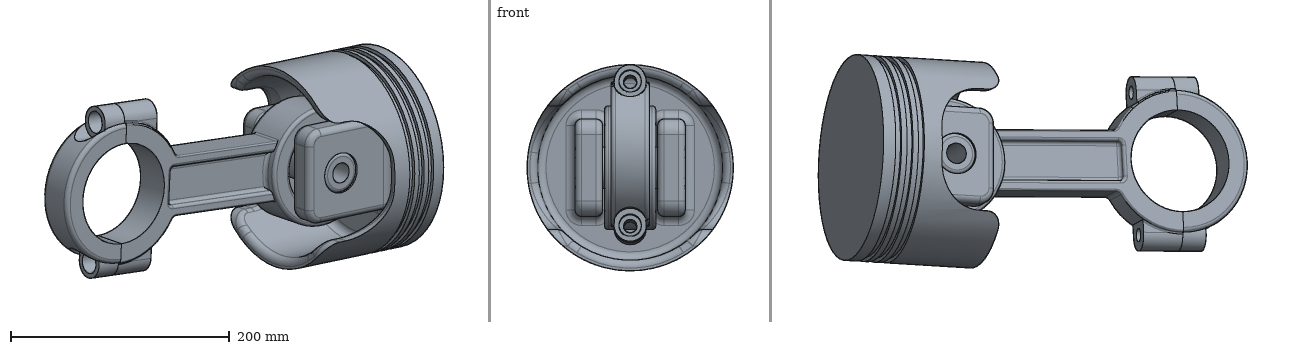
import cadquery as cq
import math


margin = 0.5

piston_radius = 94.3
crown_y = 85.0
skirt_end_y = -36.2
wall_thickness = 9.8
cavity_radius = piston_radius - wall_thickness
floor_y = 57.7
floor_fillet = 7.5
rim_fillet = 7.0

top_land = 11.7
groove_width = 5.5
groove_pitch = 11.0
groove_depth = 3.5
groove_count = 3

window_top_y = 28.3
window_half_height = 56.5
window_corner_radius = 42.2
skirt_corner_radius = 15.0

boss_center_x = 37.7
boss_width = 25.3
boss_half_height = 44.5
boss_end_y = -37.5
boss_corner_radius = 14.5
boss_edge_fillet = 6.0
boss_root_fillet = 8.3

pin_radius = 19.0
pin_bore_radius = 9.5
pin_end_fillet = 3.5
pin_half_length = boss_center_x + boss_width / 2

rod_length = 226.7
rod_swing_angle = 3.1
rod_half_width = 17.7
small_end_radius = 56.5
small_end_half_width = 23.5
small_end_fillet = 3.5
small_end_bore_radius = 37.7
beam_half_height = 28.3
beam_edge_fillet = 1.5
neck_fillet = 5.5
small_end_neck_fillet = 2.5

pocket_half_height = 18.0
pocket_end = 172.0
pocket_depth = 6.8
pocket_corner_radius = 3.8
pocket_floor_fillet = 3.5
pocket_mouth_fillet = 3.0

big_end_radius = 66.0
big_end_bore_radius = 47.0
cap_edge_fillet = 4.0

bolt_offset = big_end_radius
bolt_boss_radius = 14.7
rod_boss_length = 37.7
cap_boss_length = 22.5
rod_boss_start_y = rod_boss_length - rod_length
cap_boss_end_y = -rod_length - cap_boss_length
bolt_hole_radius = 6.0
counterbore_radius = 10.0
counterbore_depth = 15.0
spotface_radius = 15.5
bolt_boss_root_fillet = 1.5


def side_plane(half_width):
    """YZ workplane at X = -half_width, facing +X."""
    return cq.Workplane("YZ", origin=(-half_width, 0, 0))


def x_cylinder(center_y, radius, half_width):
    return side_plane(half_width).center(center_y, 0).circle(radius).extrude(2 * half_width)


def y_cylinder(radius, start_y, end_y, x=0, z=0):
    base = cq.Workplane("XZ", origin=(x, start_y, z)).circle(radius)
    return base.extrude(start_y - end_y)


def skirt_window():
    corner_start_y = window_top_y - window_corner_radius
    corner_z = window_half_height - window_corner_radius
    corner_bend_y = skirt_end_y + skirt_corner_radius
    mouth_z = window_half_height + skirt_corner_radius
    outline = (
        side_plane(piston_radius)
        .moveTo(skirt_end_y, -mouth_z)
        .radiusArc((corner_bend_y, -window_half_height), skirt_corner_radius)
        .lineTo(corner_start_y, -window_half_height)
        .radiusArc((window_top_y, -corner_z), -window_corner_radius)
        .lineTo(window_top_y, corner_z)
        .radiusArc((corner_start_y, window_half_height), -window_corner_radius)
        .lineTo(corner_bend_y, window_half_height)
        .radiusArc((skirt_end_y, mouth_z), skirt_corner_radius)
        .close()
    )
    return outline.extrude(2 * piston_radius)


def pin_boss(side):
    length = floor_y - boss_end_y
    boss = (
        cq.Workplane("XY")
        .box(boss_width, length, 2 * boss_half_height)
        .translate((side * boss_center_x, (floor_y + boss_end_y) / 2, 0))
    )
    boss = boss.faces("<Y").edges("|X").fillet(boss_corner_radius)
    return boss.faces("<X or >X").edges("not >Y").fillet(boss_edge_fillet)


def make_piston():
    body = y_cylinder(piston_radius, crown_y, skirt_end_y)
    cavity = y_cylinder(cavity_radius, floor_y, skirt_end_y)
    cavity = cavity.faces(">Y").edges().fillet(floor_fillet)
    body = body.cut(cavity).cut(skirt_window())
    rim_arcs = body.faces("<Y").edges(cq.selectors.RadiusNthSelector(0))
    body = rim_arcs.fillet(rim_fillet)

    for index in range(groove_count):
        start_y = crown_y - top_land - index * groove_pitch
        end_y = start_y - groove_width
        core = y_cylinder(piston_radius - groove_depth, start_y, end_y)
        body = body.cut(y_cylinder(piston_radius + margin, start_y, end_y).cut(core))

    for side in (-1, 1):
        body = body.union(pin_boss(side))
    reach_x = boss_center_x + boss_width / 2 + margin
    reach_z = boss_half_height + margin
    root = cq.selectors.BoxSelector(
        (-reach_x, floor_y - margin, -reach_z),
        (reach_x, floor_y + margin, reach_z),
        boundingbox=True,
    )
    body = body.edges(root).fillet(boss_root_fillet)
    return body.cut(x_cylinder(0, pin_radius, pin_half_length))


def make_pin():
    pin = x_cylinder(0, pin_radius, pin_half_length).edges().fillet(pin_end_fillet)
    return pin.cut(x_cylinder(0, pin_bore_radius, pin_half_length))


def y_slab(start_y, end_y):
    """Block that spans the whole section of the rod between two Y positions."""
    size = 4 * big_end_radius
    block = cq.Workplane("XY").box(size, start_y - end_y, size)
    return block.translate((0, (start_y + end_y) / 2, 0))


def rod_bolt_boss(side):
    """Half-round boss with straight flanks that run in to the big end ring."""
    boss = y_cylinder(bolt_boss_radius, rod_boss_start_y, -rod_length, z=side * bolt_offset)
    flank = cq.Workplane("XY").box(2 * bolt_boss_radius, rod_boss_length, bolt_offset)
    middle_y = rod_boss_length / 2 - rod_length
    return boss.union(flank.translate((0, middle_y, side * bolt_offset / 2)))


def rod_pocket(side):
    """Pocket tool with a rounded floor; it stops at the rim of the small end."""
    pocket = (
        cq.Workplane("YZ", origin=(side * (rod_half_width - pocket_depth), 0, 0))
        .rect(2 * pocket_end, 2 * pocket_half_height)
        .extrude(side * pocket_depth)
        .edges("|X")
        .fillet(pocket_corner_radius)
    )
    pocket = pocket.cut(y_slab(pocket_end, 0))
    pocket = pocket.cut(x_cylinder(0, small_end_radius, rod_half_width))
    floor = "<X" if side > 0 else ">X"
    return pocket.faces(floor).edges().fillet(pocket_floor_fillet)


def neck_edges(y):
    """Select the corner edges where the beam meets a rod end at this Y."""
    reach = beam_half_height + margin
    near = (-rod_half_width - margin, y - margin, -reach)
    far = (rod_half_width + margin, y + margin, reach)
    return cq.selectors.BoxSelector(near, far, boundingbox=True)


def bolt_boss_root_fillets(side):
    """Concave fillet rings between the big end and the flanks of one bolt boss."""
    foot_x = bolt_boss_radius + bolt_boss_root_fillet
    buried_radius = big_end_radius - bolt_boss_root_fillet
    top_radius = big_end_radius + bolt_boss_root_fillet
    section = (
        cq.Workplane("XY")
        .moveTo(0, buried_radius)
        .lineTo(foot_x, buried_radius)
        .lineTo(foot_x, big_end_radius)
        .radiusArc((bolt_boss_radius, top_radius), bolt_boss_root_fillet)
        .lineTo(0, top_radius)
        .close()
    )
    half_ring = section.revolve(360, (0, 0, 0), (1, 0, 0)).translate((0, -rod_length, 0))
    ring = half_ring.union(half_ring.mirror("YZ"))
    reach = 2 * big_end_radius
    span = cq.Workplane("XY").box(reach, rod_boss_length, reach)
    return ring.intersect(span.translate((0, rod_boss_length / 2 - rod_length, side * reach / 2)))


def pocket_mouths():
    """Select the long pocket edges that lie in the side faces of the beam."""
    def long_edges(side):
        x = side * rod_half_width
        near = (x - margin, -rod_length, -pocket_half_height - margin)
        far = (x + margin, 0, pocket_half_height + margin)
        return cq.selectors.BoxSelector(near, far)
    return long_edges(-1) + long_edges(1)


def make_rod():
    beam = cq.Workplane("XY").box(2 * rod_half_width, rod_length, 2 * beam_half_height)
    beam = beam.translate((0, -rod_length / 2, 0))
    body = beam.union(x_cylinder(-rod_length, big_end_radius, rod_half_width))
    neck_y = -rod_length + math.sqrt(big_end_radius**2 - beam_half_height**2)
    body = body.edges(neck_edges(neck_y)).fillet(neck_fillet)
    body = body.union(x_cylinder(0, small_end_radius, rod_half_width))
    small_neck_y = -math.sqrt(small_end_radius**2 - beam_half_height**2)
    body = body.edges(neck_edges(small_neck_y)).fillet(small_end_neck_fillet)
    body = body.faces("<X or >X").edges().fillet(beam_edge_fillet)
    small_end = x_cylinder(0, small_end_radius, small_end_half_width)
    body = body.cut(small_end).union(small_end)
    body = body.faces("<X or >X").edges().fillet(small_end_fillet)
    for side in (-1, 1):
        body = body.cut(rod_pocket(side))
    body = body.edges("|Y").edges(pocket_mouths()).fillet(pocket_mouth_fillet)
    for side in (-1, 1):
        body = body.union(rod_bolt_boss(side))
        body = body.union(bolt_boss_root_fillets(side))
    body = body.cut(y_slab(-rod_length, -2 * rod_length))
    small_bore = x_cylinder(0, small_end_bore_radius, small_end_half_width)
    body = body.cut(small_bore)
    body = body.faces("<X or >X").edges(cq.selectors.RadiusNthSelector(0)).fillet(small_end_fillet)
    return finish_big_end(body)


def make_cap():
    body = x_cylinder(-rod_length, big_end_radius, rod_half_width)
    body = body.edges().fillet(cap_edge_fillet)
    for side in (-1, 1):
        z = side * bolt_offset
        body = body.union(y_cylinder(bolt_boss_radius, -rod_length, cap_boss_end_y, z=z))
        body = body.cut(y_cylinder(spotface_radius, cap_boss_end_y, -2 * rod_length, z=z))
        sink_y = cap_boss_end_y + counterbore_depth
        body = body.cut(y_cylinder(counterbore_radius, sink_y, cap_boss_end_y, z=z))
    return finish_big_end(body.cut(y_slab(0, -rod_length)))


def finish_big_end(body):
    """Bore the crankpin hole and both bolt holes, then swing the part about the pin."""
    body = body.cut(x_cylinder(-rod_length, big_end_bore_radius, 2 * rod_half_width))
    for side in (-1, 1):
        z = side * bolt_offset
        body = body.cut(y_cylinder(bolt_hole_radius, rod_boss_start_y, cap_boss_end_y, z=z))
    return body.rotate((0, 0, 0), (1, 0, 0), -rod_swing_angle)


piston = make_piston()
pin = make_pin()
rod = make_rod()
cap = make_cap()
result = cq.Compound.makeCompound([piston.val(), pin.val(), rod.val(), cap.val()])